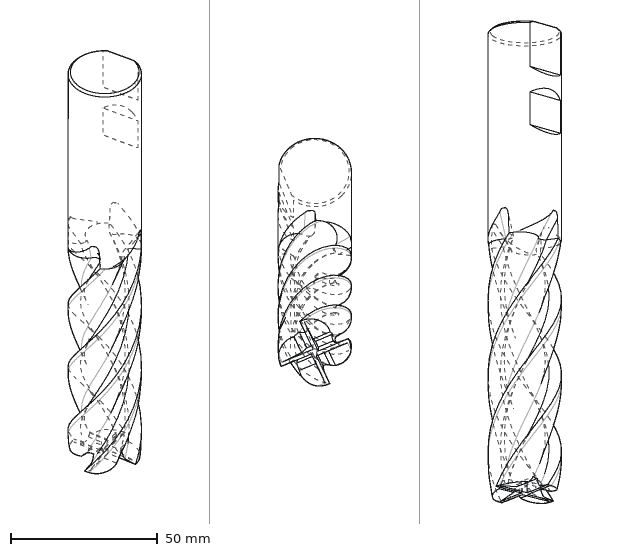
import cadquery as cq
import math

TOTAL_LENGTH = 166.0
CUTTING_LENGTH = 90.0
RADIUS = 25.0 / 2
TOP_CHAMFER = 0.8

FLAT_OFFSET = 10.5
UPPER_FLAT_BOTTOM = 149.4
LOWER_FLAT_TOP = 140.3
LOWER_FLAT_BOTTOM = 128.5

FLUTE_COUNT = 4
FLUTE_PITCH_ANGLE = 360 / FLUTE_COUNT
TWIST_ANGLE = 296.0
TOP_EDGE_ANGLE = -67.0
MARGIN_ANGLE = 8.0
BACK_RADIUS, BACK_ANGLE = 11.3, 36.0
HEEL_RADIUS, HEEL_ANGLE = 8.0, 62.0
ROOT_RADIUS, ROOT_ANGLE = 7.0, 77.0
RAKE_RADIUS, RAKE_ANGLE = 8.3, 88.0

RUNOUT_HEIGHT = 9.3
RUNOUT_RISE = RADIUS - ROOT_RADIUS

GASH_DEPTH = 3.7
GASH_WIDTH = 2.3
RELIEF_DEPTH = 1.3
RELIEF_START = 4.3
RELIEF_REACH = 11.6
GASH_CORE = 1.3


def polar(radius, angle):
    """Point in the XY plane at a radius and an angle in degrees."""
    turn = math.radians(angle)
    return (radius * math.cos(turn), radius * math.sin(turn))


def add_flute_side(sketch, edge_angle):
    """Continue from the margin end over the tooth back and flute to the next cutting edge."""
    return (
        sketch.threePointArc(
            polar(BACK_RADIUS, edge_angle + BACK_ANGLE), polar(HEEL_RADIUS, edge_angle + HEEL_ANGLE)
        )
        .threePointArc(
            polar(ROOT_RADIUS, edge_angle + ROOT_ANGLE), polar(RAKE_RADIUS, edge_angle + RAKE_ANGLE)
        )
        .lineTo(*polar(RADIUS, edge_angle + FLUTE_PITCH_ANGLE))
    )


def make_gash(edge_angle):
    """Gash along the rake face, running out as a shallow relief across the tooth ahead."""
    outline = [
        (0, 0),
        (0, GASH_DEPTH),
        (-GASH_WIDTH, GASH_DEPTH),
        (-RELIEF_START, RELIEF_DEPTH),
        (-RELIEF_REACH, 0),
    ]
    gash = cq.Workplane("YZ").workplane(offset=GASH_CORE).polyline(outline).close().extrude(RADIUS)
    return gash.rotate((0, 0, 0), (0, 0, 1), edge_angle)


def make_cutter():
    """Four-tooth section twisted about the Z axis, with a gash in front of every end tooth."""
    bottom_edge_angle = TOP_EDGE_ANGLE - TWIST_ANGLE
    section = cq.Workplane("XY").moveTo(*polar(RADIUS, bottom_edge_angle))
    for index in range(FLUTE_COUNT):
        edge_angle = bottom_edge_angle + index * FLUTE_PITCH_ANGLE
        section = section.threePointArc(
            polar(RADIUS, edge_angle + MARGIN_ANGLE / 2), polar(RADIUS, edge_angle + MARGIN_ANGLE)
        )
        section = add_flute_side(section, edge_angle)
    cutter = section.close().twistExtrude(CUTTING_LENGTH, TWIST_ANGLE)
    for index in range(FLUTE_COUNT):
        cutter = cutter.cut(make_gash(bottom_edge_angle + index * FLUTE_PITCH_ANGLE))
    return cutter


def make_runout(edge_angle):
    """Flute section swept upwards and outwards until it leaves the shank."""
    outside = 2 * RADIUS
    next_edge_angle = edge_angle + FLUTE_PITCH_ANGLE
    opening = cq.Workplane("XY").moveTo(*polar(RADIUS, edge_angle + MARGIN_ANGLE))
    opening = add_flute_side(opening, edge_angle)
    opening = (
        opening.lineTo(*polar(outside, next_edge_angle))
        .lineTo(*polar(outside, edge_angle + MARGIN_ANGLE))
        .close()
    )
    rise = polar(RUNOUT_RISE, next_edge_angle)
    path = cq.Vector(rise[0], rise[1], RUNOUT_HEIGHT)
    runout = cq.Solid.extrudeLinear(opening.val(), [], path)
    return runout.translate(cq.Vector(0, 0, CUTTING_LENGTH))


def make_flats():
    """Tools for the upper flat and the lower flat, both with 45 degree ends."""
    reach = 2 * RADIUS
    spread = reach - FLAT_OFFSET
    upper = [
        (FLAT_OFFSET, UPPER_FLAT_BOTTOM),
        (reach, UPPER_FLAT_BOTTOM - spread),
        (reach, TOTAL_LENGTH),
        (FLAT_OFFSET, TOTAL_LENGTH),
    ]
    lower = [
        (FLAT_OFFSET, LOWER_FLAT_BOTTOM),
        (reach, LOWER_FLAT_BOTTOM - spread),
        (reach, LOWER_FLAT_TOP + spread),
        (FLAT_OFFSET, LOWER_FLAT_TOP),
    ]
    return [
        cq.Workplane("YZ").polyline(outline).close().extrude(RADIUS, both=True)
        for outline in (upper, lower)
    ]


def make_shank():
    """Chamfered round shank with flats and flute run-outs."""
    shank = (
        cq.Workplane("XZ")
        .moveTo(0, CUTTING_LENGTH)
        .lineTo(RADIUS, CUTTING_LENGTH)
        .lineTo(RADIUS, TOTAL_LENGTH - TOP_CHAMFER)
        .lineTo(RADIUS - TOP_CHAMFER, TOTAL_LENGTH)
        .lineTo(0, TOTAL_LENGTH)
        .close()
        .revolve(360, (0, 0), (0, 1))
    )
    for flat in make_flats():
        shank = shank.cut(flat, clean=False)
    for index in range(FLUTE_COUNT):
        runout = make_runout(TOP_EDGE_ANGLE + index * FLUTE_PITCH_ANGLE)
        shank = shank.cut(cq.Workplane(runout), clean=False)
    return shank


cutter = make_cutter()
shank = make_shank()
result = cq.Compound.makeCompound([*cutter.solids().vals(), *shank.solids().vals()])